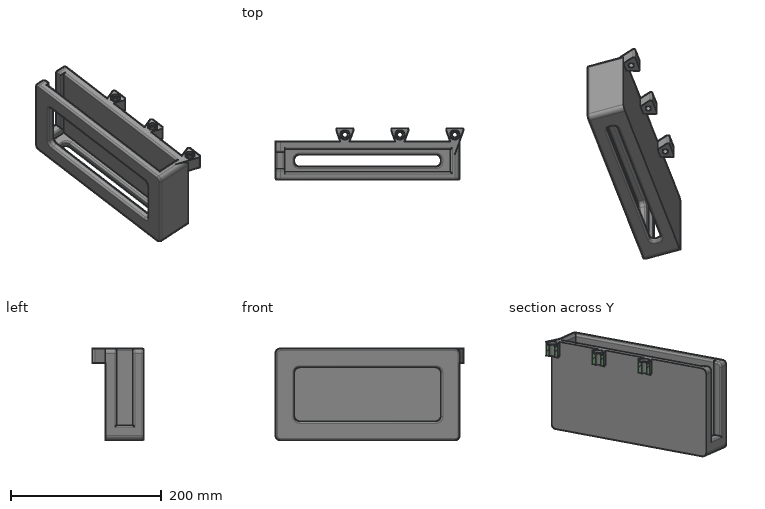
import cadquery as cq
import math

total_length = 249.7
body_depth = 51.0
body_height = 121.8
corner_radius = 6.5
edge_radius = 2.5

tab_count = 3
tab_spacing = 73.0
tab_reach = 17.7
tab_height = 19.5
tab_tip_half_width = 12.7
tab_flank_angle = 20.0
tab_corner_radius = 2.5
screw_offset = 8.7
screw_diameter = 7.2
counterbore_diameter = 12.7
counterbore_depth = 4.0

end_wall = 12.5
side_wall = 10.7
floor_thickness = 10.2

notch_width = 21.5
notch_floor = 20.2

opening_inset = 25.2
opening_corner_radius = 6.5
window_bottom = 25.5
window_top = 96.5
floor_slot_width = 15.5

margin = 0.5

tip_angle = math.radians(90 - tab_flank_angle)
tip_pullback = tab_corner_radius * (1 / math.tan(tip_angle / 2) - 1)
last_tab_x = total_length - tab_tip_half_width + tip_pullback
tab_xs = [last_tab_x - i * tab_spacing for i in range(tab_count)]

body_length = last_tab_x + corner_radius
middle_y = body_depth / 2
opening_x_range = (opening_inset, body_length - opening_inset)


def box(x_range, y_range, z_range):
    """Box between the given (low, high) limits on each axis."""
    lows, highs = zip(x_range, y_range, z_range)
    sizes = [high - low for low, high in zip(lows, highs)]
    return cq.Workplane("XY").box(*sizes, centered=False).translate(lows)


def edges_within(part, x_range, y_range, z_range):
    """Edges of the part that lie wholly inside the given limits."""
    lows, highs = zip(x_range, y_range, z_range)
    low_corner = [low - margin for low in lows]
    high_corner = [high + margin for high in highs]
    return part.edges(cq.selectors.BoxSelector(low_corner, high_corner, boundingbox=True))


def make_body():
    body = box((0, body_length), (0, body_depth), (0, body_height))
    body = body.edges("|Y").fillet(corner_radius)
    return body.faces("<Y").edges().fillet(edge_radius)


def make_tab(x):
    """Dovetail whose flanks run on inside the body until they meet."""
    tip_to_apex = tab_tip_half_width / math.tan(math.radians(tab_flank_angle))
    tab = (
        cq.Workplane("XY", origin=(x, body_depth + tab_reach, body_height - tab_height))
        .moveTo(-tab_tip_half_width, 0)
        .lineTo(tab_tip_half_width, 0)
        .lineTo(0, -tip_to_apex)
        .close()
        .extrude(tab_height)
    )
    return tab.edges("|Z").edges(">Y").fillet(tab_corner_radius)


def cut_screw_holes(part):
    centres = [(x, body_depth + screw_offset) for x in tab_xs]
    return (
        part.copyWorkplane(cq.Workplane("XY", origin=(0, 0, body_height)))
        .pushPoints(centres)
        .cboreHole(screw_diameter, counterbore_diameter, counterbore_depth, tab_height)
    )


def cut_cavity(part):
    """Pocket from the top; its rim is rounded except along the left end wall."""
    x_range = (end_wall, body_length - end_wall)
    y_range = (side_wall, body_depth - side_wall)
    part = part.cut(box(x_range, y_range, (floor_thickness, body_height)))
    rim = edges_within(part, x_range, y_range, (body_height, body_height))
    return rim.edges("|X or >X").fillet(edge_radius)


def cut_window(part):
    """Rounded opening in the front wall, with both rims rounded."""
    z_range = (window_bottom, window_top)
    window = box(opening_x_range, (0, side_wall), z_range)
    part = part.cut(window.edges("|Y").fillet(opening_corner_radius))
    for y in (0, side_wall):
        part = edges_within(part, opening_x_range, (y, y), z_range).fillet(edge_radius)
    return part


def cut_floor_slot(part):
    """Rounded opening in the floor, with both rims rounded."""
    y_range = (middle_y - floor_slot_width / 2, middle_y + floor_slot_width / 2)
    slot = box(opening_x_range, y_range, (0, floor_thickness))
    part = part.cut(slot.edges("|Z").fillet(opening_corner_radius))
    for z in (0, floor_thickness):
        part = edges_within(part, opening_x_range, y_range, (z, z)).fillet(edge_radius)
    return part


def cut_notch(part):
    """Open-topped cut through the left end wall, rounded on both faces and along its top.

    The straight edges along the top follow on from the rounded corner of the body,
    so they are rounded with it and need not be picked.
    """
    x_range = (0, end_wall)
    y_range = (middle_y - notch_width / 2, middle_y + notch_width / 2)
    z_range = (notch_floor, body_height)
    part = part.cut(box(x_range, y_range, z_range))
    return edges_within(part, x_range, y_range, z_range).edges("not |X").fillet(edge_radius)


result = make_body()
for tab_x in tab_xs:
    result = result.union(make_tab(tab_x))
result = cut_screw_holes(result)
result = cut_cavity(result)
result = cut_window(result)
result = cut_floor_slot(result)
result = cut_notch(result)